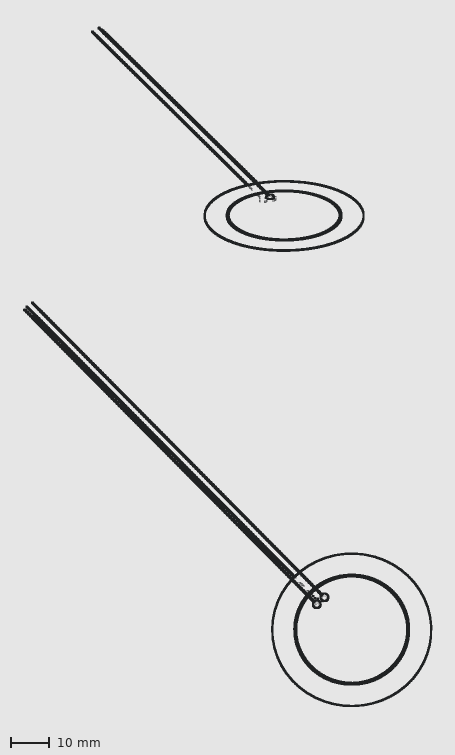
import cadquery as cq

plate_diameter = 41.0
plate_thickness = 0.2

ceramic_diameter = 29.6
ceramic_thickness = 0.05
electrode_diameter = 28.6
electrode_thickness = 0.05

lead_reach = 100.0
strip_length = 3.0
jacket_diameter = 0.28
core_diameter = 0.2
upper_lead_y = 0.97
upper_lead_z = 0.32
lower_lead_ys = (1.77, -0.95)
lower_lead_z = -0.34

bead_diameter = 2.0
bead_rounding = 0.45
bead_x = -11.2
overall_height = 1.4

plate_top_z = plate_thickness / 2
plate_bottom_z = -plate_top_z
ceramic_top_z = plate_top_z + ceramic_thickness
electrode_top_z = ceramic_top_z + electrode_thickness
upper_bead_top_z = overall_height / 2
lower_bead_bottom_z = -overall_height / 2
lead_start_x = -plate_diameter / 2 - lead_reach


def disc(diameter, low_z, high_z, x=0.0, y=0.0):
    """Upright cylinder between two levels."""
    return cq.Workplane("XY", origin=(x, y, low_z)).circle(diameter / 2).extrude(high_z - low_z)


def rod(diameter, start_x, end_x, y, z):
    """Cylinder along X."""
    return cq.Workplane("YZ", origin=(start_x, y, z)).circle(diameter / 2).extrude(end_x - start_x)


def lead(y, z):
    """Jacketed wire with a bare core at its free end; the other end sits inside a bead."""
    jacket_start_x = lead_start_x + strip_length
    core = rod(core_diameter, lead_start_x, jacket_start_x, y, z)
    jacket = rod(jacket_diameter, jacket_start_x, bead_x, y, z)
    return jacket.union(core)


def bead(y, low_z, high_z, outer_face):
    """Round solder bead with a rounded rim on its outer face."""
    blank = disc(bead_diameter, low_z, high_z, bead_x, y)
    return blank.faces(outer_face).edges().fillet(bead_rounding)


result = disc(plate_diameter, plate_bottom_z, plate_top_z)
result = result.union(disc(ceramic_diameter, plate_top_z, ceramic_top_z))
result = result.union(disc(electrode_diameter, ceramic_top_z, electrode_top_z))

upper_bead = bead(upper_lead_y, electrode_top_z, upper_bead_top_z, ">Z")
result = result.union(upper_bead.union(lead(upper_lead_y, upper_lead_z)))

for lower_y in lower_lead_ys:
    lower_bead = bead(lower_y, lower_bead_bottom_z, plate_bottom_z, "<Z")
    result = result.union(lower_bead.union(lead(lower_y, lower_lead_z)))